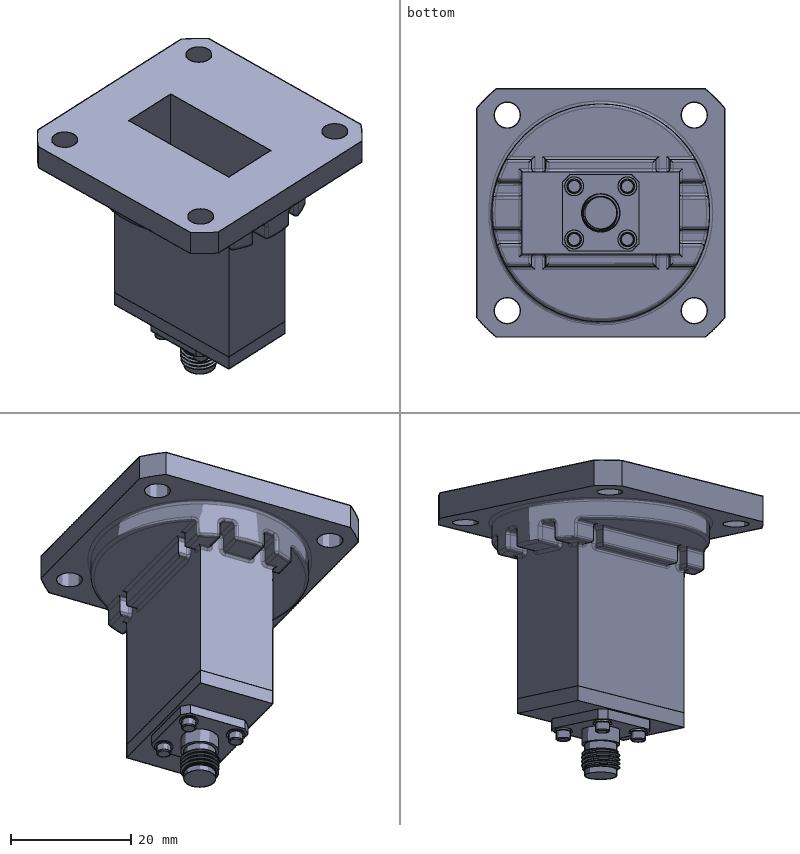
import cadquery as cq
import math

FLANGE_TOP = 47.5
FLANGE_BOTTOM = 43.15
RING_BOTTOM = 39.6
TAB_BOTTOM = 36.4
TUBE_BOTTOM = 11.95
PLATE_BOTTOM = 9.45
BASE_BOTTOM = 7.8
COLLAR_BOTTOM = 5.35
THREAD_TOP = 4.05
THREAD_BOTTOM = 1.0
TIP = 0.0

FLANGE_SIDE = 41.3
FLANGE_CORNER_RADIUS = 27.0
BOLT_HOLE_RADIUS = 2.15
BOLT_HOLE_X = 15.55
BOLT_HOLE_Y = 16.25

TUBE_LENGTH = 26.12
TUBE_WIDTH = 13.65
OPENING_LENGTH = 22.85
OPENING_WIDTH = 10.15

RING_RADIUS = 18.1
TAB_BLOCK_WIDTH = 17.75
SLOT_WIDTH = 2.35
END_SLOT_Y = 3.95
SIDE_SLOT_X = 10.3
FILLET = 0.5
SLAB_REACH = RING_RADIUS + 2.38

BASE_SIDE = 12.7
BASE_CHAMFER = 1.2
COLLAR_RADIUS = 3.15
BARREL_RADIUS = 2.65
THREAD_ROOT_RADIUS = 2.75
THREAD_RADIUS = 3.2
RIDGE_BASE_RADIUS = 2.55
THREAD_PITCH = 0.705
THREAD_LEAD_IN = 0.95
THREAD_GAP = 0.05
THREAD_END_RADIUS = 2.9
THREAD_CLEARANCE = 0.4

SCREW_OFFSET = 4.4
WASHER_BOTTOM = 7.45
WASHER_RADIUS = 1.55
WASHER_TOP_RADIUS = 1.4
HEAD_BOTTOM = 6.05
HEAD_RADIUS = 1.2
HEAD_CHAMFER = 0.2

TOLERANCE = 0.005


def block(length, width, bottom, top):
    """Box centred on the Z axis between two heights."""
    return cq.Workplane("XY", (0, 0, bottom)).rect(length, width).extrude(top - bottom)


def disc(radius, bottom, top):
    """Cylinder on the Z axis between two heights."""
    return cq.Workplane("XY", (0, 0, bottom)).circle(radius).extrude(top - bottom)


def lies_on(edge, distance):
    """True if the distance function is zero at points all along the edge."""
    return all(abs(distance(edge.positionAt(t))) < TOLERANCE for t in (0, 0.25, 0.5, 0.75, 1))


def off_ring_wall(point):
    return math.hypot(point.x, point.y) - RING_RADIUS


def off_tube_end(point):
    return abs(point.x) - TUBE_LENGTH / 2


def off_tube_side(point):
    return abs(point.y) - TUBE_WIDTH / 2



def flange():
    plate = block(FLANGE_SIDE, FLANGE_SIDE, FLANGE_BOTTOM, FLANGE_TOP)
    return plate.intersect(disc(FLANGE_CORNER_RADIUS, FLANGE_BOTTOM, FLANGE_TOP))


def toothed_slab(plane, along, tab_edge, slot_center):
    """Slab whose underside is a row of three tabs, symmetric about Z, with all corners rounded."""
    slot_outer = slot_center + SLOT_WIDTH / 2
    slot_inner = slot_center - SLOT_WIDTH / 2
    positive_half = [
        (SLAB_REACH, FLANGE_BOTTOM),
        (SLAB_REACH, RING_BOTTOM),
        (tab_edge, RING_BOTTOM),
        (tab_edge, TAB_BOTTOM),
        (slot_outer, TAB_BOTTOM),
        (slot_outer, RING_BOTTOM),
        (slot_inner, RING_BOTTOM),
        (slot_inner, TAB_BOTTOM),
    ]
    negative_half = [(-across, height) for across, height in reversed(positive_half)]
    outline = cq.Workplane(plane).polyline(positive_half + negative_half).close()
    return outline.extrude(SLAB_REACH, both=True).edges(along).fillet(FILLET)


def ring_with_tabs():
    """Disc with tabs below it: slots run in from both ends and both sides, outer edges are rounded."""
    end_teeth = toothed_slab("YZ", "|X", TAB_BLOCK_WIDTH / 2, END_SLOT_Y)
    side_teeth = toothed_slab("XZ", "|Y", RING_RADIUS + FILLET, SIDE_SLOT_X)
    ring = disc(RING_RADIUS, TAB_BOTTOM, FLANGE_BOTTOM).intersect(end_teeth).intersect(side_teeth)
    solid = ring.solids().val()

    def is_lower_rim(edge):
        return edge.Center().z < FLANGE_BOTTOM - TOLERANCE and lies_on(edge, off_ring_wall)

    return cq.Workplane(solid.fillet(FILLET, [edge for edge in solid.Edges() if is_lower_rim(edge)]))


def with_filleted_joints(body):
    """Round the inner corners where the ring meets the flange and the tube."""
    solid = body.solids().val()

    def is_joint(edge):
        height = edge.Center().z
        under_flange = abs(height - FLANGE_BOTTOM) < TOLERANCE and lies_on(edge, off_ring_wall)
        between_ends = TUBE_BOTTOM + TOLERANCE < height < FLANGE_BOTTOM - TOLERANCE
        on_one_wall = lies_on(edge, off_tube_end) != lies_on(edge, off_tube_side)
        return under_flange or (between_ends and on_one_wall)

    return cq.Workplane(solid.fillet(FILLET, [edge for edge in solid.Edges() if is_joint(edge)]))


def bolt_holes():
    centers = cq.Workplane("XY", (0, 0, FLANGE_BOTTOM)).rect(
        2 * BOLT_HOLE_X, 2 * BOLT_HOLE_Y, forConstruction=True
    )
    return centers.vertices().circle(BOLT_HOLE_RADIUS).extrude(FLANGE_TOP - FLANGE_BOTTOM)


def make_housing():
    tube = block(TUBE_LENGTH, TUBE_WIDTH, TUBE_BOTTOM, FLANGE_BOTTOM)
    body = with_filleted_joints(ring_with_tabs().union(tube).union(flange()))
    waveguide = block(OPENING_LENGTH, OPENING_WIDTH, TUBE_BOTTOM, FLANGE_TOP)
    return body.cut(waveguide).cut(bolt_holes())



def make_end_plate():
    return block(TUBE_LENGTH, TUBE_WIDTH, PLATE_BOTTOM, TUBE_BOTTOM)



def thread():
    """Helical ridge of triangular section, sunk into its root and trimmed to the chamfered threaded length."""
    start = THREAD_BOTTOM - THREAD_LEAD_IN
    half_base = (THREAD_PITCH - THREAD_GAP) / 2
    helix_height = THREAD_TOP + THREAD_PITCH - start
    helix = cq.Wire.makeHelix(THREAD_PITCH, helix_height, RIDGE_BASE_RADIUS)
    path = cq.Workplane(helix.translate(cq.Vector(0, 0, start)))
    section = [
        (RIDGE_BASE_RADIUS, start - half_base),
        (THREAD_RADIUS, start),
        (RIDGE_BASE_RADIUS, start + half_base),
    ]
    ridge = cq.Workplane("XZ").polyline(section).close().sweep(path, isFrenet=True)
    envelope_radius = THREAD_RADIUS + THREAD_CLEARANCE
    envelope = disc(envelope_radius, THREAD_BOTTOM, THREAD_TOP)
    envelope = envelope.faces("<Z or >Z").chamfer(envelope_radius - THREAD_END_RADIUS)
    root = disc(THREAD_ROOT_RADIUS, THREAD_BOTTOM, THREAD_TOP)
    return ridge.intersect(envelope).union(root)


def make_connector():
    base = block(BASE_SIDE, BASE_SIDE, BASE_BOTTOM, PLATE_BOTTOM).edges("|Z").chamfer(BASE_CHAMFER)
    collar = disc(COLLAR_RADIUS, COLLAR_BOTTOM, BASE_BOTTOM)
    barrel = disc(BARREL_RADIUS, TIP, COLLAR_BOTTOM)
    return base.union(collar).union(barrel).union(thread())



def make_screw(x, y):
    """Head and washer turned about the screw axis."""
    half_section = [
        (0, BASE_BOTTOM),
        (WASHER_TOP_RADIUS, BASE_BOTTOM),
        (WASHER_RADIUS, WASHER_BOTTOM),
        (HEAD_RADIUS, WASHER_BOTTOM),
        (HEAD_RADIUS, HEAD_BOTTOM + HEAD_CHAMFER),
        (HEAD_RADIUS - HEAD_CHAMFER, HEAD_BOTTOM),
        (0, HEAD_BOTTOM),
    ]
    turned = cq.Workplane("XZ").polyline(half_section).close().revolve(360, (0, 0), (0, 1))
    return turned.translate((x, y, 0))


housing = make_housing()
end_plate = make_end_plate()
connector = make_connector()
screws = [
    make_screw(side_x * SCREW_OFFSET, side_y * SCREW_OFFSET)
    for side_x in (-1, 1)
    for side_y in (-1, 1)
]

result = cq.Compound.makeCompound(
    [
        housing.solids().val(),
        end_plate.solids().val(),
        connector.solids().val(),
        *[screw.solids().val() for screw in screws],
    ]
)